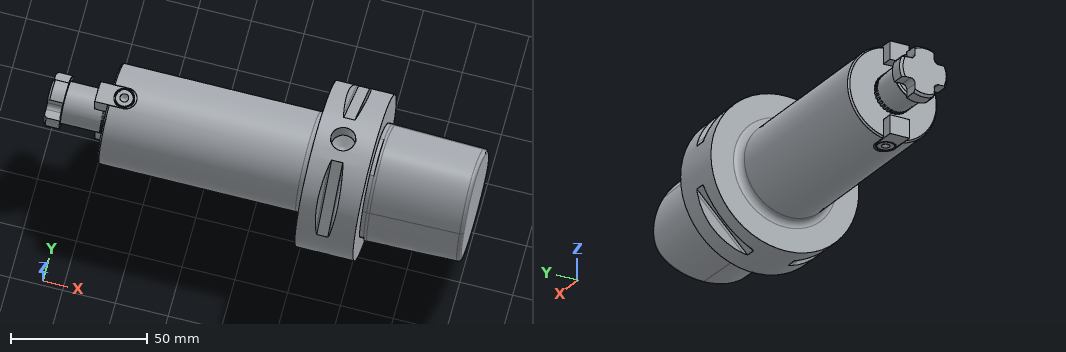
import cadquery as cq
import math

head_end = 6.1
body_start = 22.9
flange_start = 101.0
flange_end = 123.0
neck_end = 124.6
land_end = 125.7
total_length = 161.0

head_diameter = 20.3
head_chamfer = 1.0
arm_width = 8.2
notch_radius = 2.0
collar_diameter = 18.7
collar_thickness = 0.2
stem_diameter = 16.0
knurl_start = 21.0
knurl_teeth = 30
knurl_depth = 0.3
knurl_groove_width = 0.8

body_diameter = 38.0
body_chamfer = 0.6
root_fillet = 2.9
flange_diameter = 63.0

key_start = 18.0
key_width = 8.2
key_inner_height = 11.3
key_outer_height = 18.8
key_end = 32.8
key_screw_x = 28.2
key_screw_diameter = 7.5
key_screw_gap = 0.5
key_screw_depth = 1.0
socket_diameter = 3.2

gripper_x = 111.1
gripper_angles = (45, 135, 225, 315)
gripper_floor_radius = 27.5
gripper_floor_width = 4.2
gripper_step_width = 5.2
gripper_step_height = 0.8
gripper_mouth_width = 7.7
hole_diameter = 9.2
hole_depth = 8.0
hole_point_angle = 118

shank_radius = 22.0
shank_end_radius = 21.3
lobe_height = 1.5
lobes = 3
shank_end_fillet = 1.5
neck_diameter = 44.9
points_per_lobe = 25


def disc(x_start, x_end, diameter):
    return cq.Workplane("YZ", origin=(x_start, 0, 0)).circle(diameter / 2).extrude(x_end - x_start)


def lobe_point(x, mean_radius, angle):
    """Point of the rounded three-lobed outline whose outward normal is at `angle` from +Y."""
    phase = lobes * (angle - math.pi / 2)
    reach = mean_radius + lobe_height * math.cos(phase)
    slope = -lobes * lobe_height * math.sin(phase)
    y = reach * math.cos(angle) - slope * math.sin(angle)
    z = reach * math.sin(angle) + slope * math.cos(angle)
    return cq.Vector(x, y, z)


def lobed_wire(x, mean_radius):
    """Closed three-lobed outline, with one edge per lobe meeting at the middle of the flat sides."""
    edges = []
    sector = 2 * math.pi / lobes
    for lobe in range(lobes):
        first = math.pi / 2 + (lobe - 0.5) * sector
        angles = [first + sector * i / (points_per_lobe - 1) for i in range(points_per_lobe)]
        points = [lobe_point(x, mean_radius, angle) for angle in angles]
        tangents = [cq.Vector(0, -math.sin(a), math.cos(a)) for a in (angles[0], angles[-1])]
        edges.append(cq.Edge.makeSpline(points, tangents=tangents))
    return cq.Wire.assembleEdges(edges)


def lobed_solid(x_start, radius_start, x_end, radius_end):
    wires = [lobed_wire(x_start, radius_start), lobed_wire(x_end, radius_end)]
    return cq.Workplane(obj=cq.Solid.makeLoft(wires, True))


def make_retaining_screw():
    head = disc(0, head_end, head_diameter).faces("<X").chamfer(head_chamfer)
    upright_bar = cq.Workplane("YZ").rect(arm_width, head_diameter).extrude(head_end)
    level_bar = cq.Workplane("YZ").rect(head_diameter, arm_width).extrude(head_end)
    corners = cq.selectors.BoxSelector((0, -arm_width, -arm_width), (head_end, arm_width, arm_width))
    cross = upright_bar.union(level_bar).edges("|X").edges(corners).fillet(notch_radius)
    stem = disc(head_end, body_start, stem_diameter)
    groove = (
        cq.Workplane("YZ", origin=(knurl_start, 0, 0))
        .center(0, stem_diameter / 2)
        .rect(knurl_groove_width, 2 * knurl_depth)
        .extrude(body_start - knurl_start)
    )
    for i in range(knurl_teeth):
        stem = stem.cut(groove.rotate((0, 0, 0), (1, 0, 0), 360 * i / knurl_teeth))
    collar = disc(head_end - collar_thickness, head_end, collar_diameter)
    return head.intersect(cross).union(collar).union(stem)


def make_body():
    radius = body_diameter / 2
    fillet_start = flange_start - root_fillet
    dip = root_fillet * math.sqrt(0.5)
    profile = (
        cq.Workplane("XY")
        .moveTo(body_start, 0)
        .lineTo(body_start, radius - body_chamfer)
        .lineTo(body_start + body_chamfer, radius)
        .lineTo(fillet_start, radius)
        .threePointArc(
            (fillet_start + dip, radius + root_fillet - dip), (flange_start, radius + root_fillet)
        )
        .lineTo(flange_start, flange_diameter / 2)
        .lineTo(flange_end, flange_diameter / 2)
        .lineTo(flange_end, 0)
        .close()
    )
    return profile.revolve(360, (0, 0, 0), (1, 0, 0))


def make_shank():
    neck = lobed_solid(flange_end, shank_radius, neck_end, shank_radius)
    neck = neck.intersect(disc(flange_end, neck_end, neck_diameter))
    land = lobed_solid(neck_end, shank_radius, land_end, shank_radius)
    taper = lobed_solid(land_end, shank_radius, total_length, shank_end_radius)
    taper = taper.faces(">X").edges().fillet(shank_end_fillet)
    return neck.union(land).union(taper)


def key_outline(x_start, z):
    """Key shape with a square front end and a round back end, at height z."""
    return (
        cq.Workplane("XY", origin=(0, 0, z))
        .moveTo(x_start, -key_width / 2)
        .lineTo(key_end - key_width / 2, -key_width / 2)
        .threePointArc((key_end, 0), (key_end - key_width / 2, key_width / 2))
        .lineTo(x_start, key_width / 2)
        .close()
    )


def add_drive_key(part):
    """Add the top key, flush in its pocket, with its screw."""
    part = part.cut(key_outline(body_start, key_outer_height).extrude(body_diameter))
    part = part.union(key_outline(key_start, key_inner_height).extrude(key_outer_height - key_inner_height))
    screw_top = cq.Workplane("XY", origin=(key_screw_x, 0, key_outer_height))
    inner_diameter = key_screw_diameter - 2 * key_screw_gap
    ring = screw_top.circle(key_screw_diameter / 2).circle(inner_diameter / 2).extrude(-key_screw_depth)
    socket = cq.Solid.makeCone(
        socket_diameter / 2,
        0,
        socket_diameter / 2,
        pnt=cq.Vector(key_screw_x, 0, key_outer_height),
        dir=cq.Vector(0, 0, -1),
    )
    return part.cut(ring).cut(cq.Workplane(obj=socket))


def gripper_slot(angle):
    """Flat-bottomed slot whose sides rise steeply and then flare out, cut across the rim of the flange."""
    depth = flange_diameter / 2 - gripper_floor_radius
    slot = (
        cq.Workplane("XZ", origin=(gripper_x, flange_diameter / 2, gripper_floor_radius))
        .moveTo(-gripper_floor_width / 2, 0)
        .lineTo(gripper_floor_width / 2, 0)
        .lineTo(gripper_step_width / 2, gripper_step_height)
        .lineTo(gripper_mouth_width / 2, depth)
        .lineTo(-gripper_mouth_width / 2, depth)
        .lineTo(-gripper_step_width / 2, gripper_step_height)
        .close()
        .extrude(flange_diameter)
    )
    return slot.rotate((0, 0, 0), (1, 0, 0), angle)


def flange_hole():
    """Blind hole with a conical bottom, drilled into the top of the flange."""
    radius = hole_diameter / 2
    floor_height = flange_diameter / 2 - hole_depth
    point_depth = radius / math.tan(math.radians(hole_point_angle / 2))
    shaft = cq.Workplane("XY", origin=(gripper_x, 0, floor_height)).circle(radius).extrude(flange_diameter)
    point = cq.Solid.makeCone(
        radius,
        0,
        point_depth,
        pnt=cq.Vector(gripper_x, 0, floor_height),
        dir=cq.Vector(0, 0, -1),
    )
    return shaft.union(cq.Workplane(obj=point))


result = make_body().union(make_shank()).union(make_retaining_screw())
for _ in range(2):
    result = add_drive_key(result).rotate((0, 0, 0), (1, 0, 0), 180)
for slot_angle in gripper_angles:
    result = result.cut(gripper_slot(slot_angle))
result = result.cut(flange_hole())